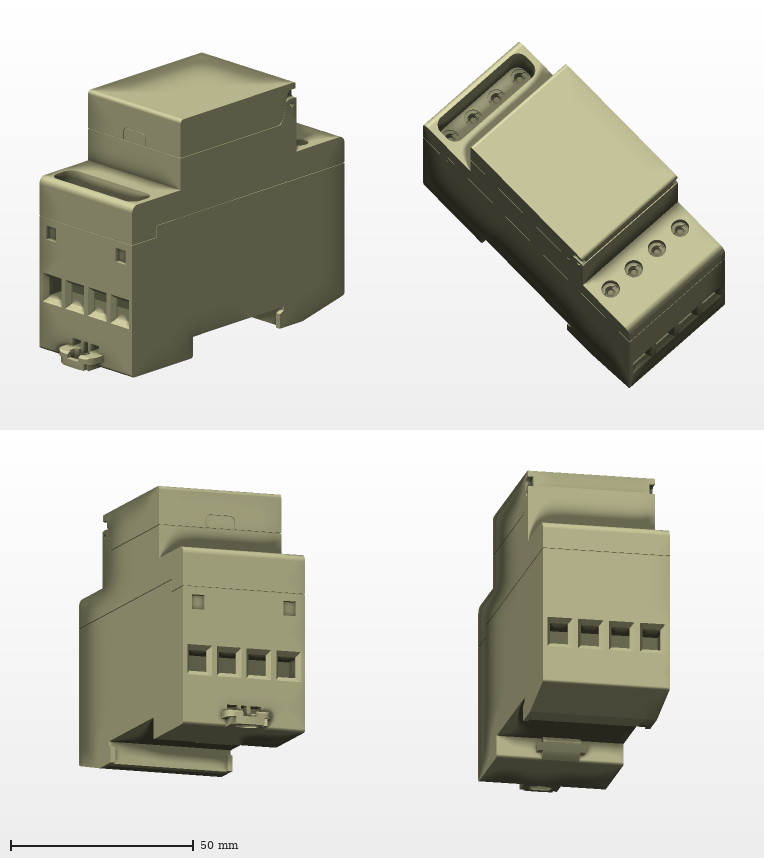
import cadquery as cq


width = 35.6
body_depth = 83.1
shelf_z = 49.9
top_z = 70.2
tower_front_y = 19.0
tower_rear_y = 64.3
shelf_round = 2.0
tower_round = 1.1
foot_round = 0.8

rail_z = 6.1
front_foot_rear_y = 23.8
rear_foot_front_y = 57.8
hook_back_y = 59.3
hook_lip_z = 4.2
hook_back_z = 4.95
hook_rib = 1.4
slope_start_y = 66.65
slope_end_z = 3.7

seam_width = 0.3
seam_depth = 0.3
cover_seam_z = 42.0
cover_step_y = 9.55
cover_step_z = 38.5
lid_seam_z = 59.3

lid_slope_foot_y = 58.7
lid_slope_head_y = 61.1
lid_end_z = 68.3
lid_end_round = 1.3
lid_foot_round = 1.8
ear_top_z = 65.8
ear_thickness = 1.6
ear_round = 1.95
ear_joint_y = 59.85
ear_chamfer = 0.7
lid_setback = 0.3
hinge_y = 62.4
hinge_z = 63.9
hinge_sink_d = 1.6
hinge_sink_depth = 0.3
hinge_bore_d = 0.9

tab_width = 8.1
tab_height = 3.45
tab_round = 1.3

terminal_count = 4
terminal_pitch = 8.7
entry_z = 18.1
entry_outer = (7.2, 8.4)
entry_inner = (5.0, 5.8)
entry_taper = 1.4
chamber_wall = 0.35
chamber_depth = 7.1
chamber_width = 32.7

window_x = 13.35
window_z = 34.3
window_width = 3.7
window_height = 4.1
window_depth = 1.4

pocket_width = 32.0
pocket_front_y = 2.0
pocket_rear_y = 10.6
pocket_round = 3.0
pocket_floor_z = 39.8
pocket_side_draft = 0.4
pocket_front_draft = 0.3
pocket_rear_draft = 0.9

screw_d = 4.6
screw_hole_d = 5.0
screw_height = 2.65
front_screw_y = 5.7
rear_screw_y = 70.3
front_screw_sink = 0.4
rear_screw_sink = 2.1
slot_width = 1.15
slot_depth = 0.5
recess_top_d = 3.2
recess_floor_d = 1.6
recess_depth = 1.1

core_width = 10.4
wing_width = 13.4
wing_bottom_z = 2.0
clip_top_z = 3.9
clip_front_y = -5.3
core_shoulder_y = -5.0
tongue_width = 8.1
horn_tip_y = -4.4
horn_root_y = -3.9
wing_front_y = -5.0
wing_round = 2.65
bevel_run = 0.7
bevel_drop = 0.5
hook_top_z = 5.9
hook_top_y = 25.8
hook_neck_z = 5.2
hook_ledge_y = 26.8
hook_tip_y = 27.7
hook_tip_z = 4.2
hook_belly = (26.1, 1.95)
hook_foot_y = 24.05
eye_width = 6.2
eye_front_y = -3.8
eye_front_corner = 0.8
eye_side_y = -1.2
eye_rear_width = 1.4
eye_rear_y = -0.2
rim_notch_width = 4.2
rim_notch_z = 2.2
guide_width = 3.7
guide_z = 2.6

clip_window_x = 3.45
clip_window_width = 3.2
clip_window_depth = 3.5
clip_slot_width = 1.8
clip_window_top_z = 6.2


def block(x_size, y_range, z_range, x_center=0.0):
    """Box centred on x_center, between the given Y and Z limits."""
    y0, y1 = y_range
    z0, z1 = z_range
    return cq.Workplane("XY").box(x_size, y1 - y0, z1 - z0).translate((x_center, (y0 + y1) / 2, (z0 + z1) / 2))


def across(points, x_size=width):
    """Extrude a closed (Y, Z) outline symmetrically along X."""
    return cq.Workplane("YZ").polyline(points).close().extrude(x_size / 2, both=True)


def terminal_xs():
    """X position of each terminal."""
    return [(i - (terminal_count - 1) / 2) * terminal_pitch for i in range(terminal_count)]


def housing_blank():
    """Stepped side outline with rounded edges and the rail recess below."""
    outline = [
        (0, 0),
        (front_foot_rear_y, 0),
        (front_foot_rear_y, rail_z),
        (hook_back_y, rail_z),
        (hook_back_y, hook_back_z),
        (rear_foot_front_y, hook_lip_z),
        (rear_foot_front_y, 0),
        (slope_start_y, 0),
        (body_depth, slope_end_z),
        (body_depth, shelf_z),
        (tower_rear_y, shelf_z),
        (tower_rear_y, top_z),
        (tower_front_y, top_z),
        (tower_front_y, shelf_z),
        (0, shelf_z),
    ]
    rounds = [
        (0, shelf_z, shelf_round),
        (body_depth, shelf_z, shelf_round),
        (tower_front_y, top_z, tower_round),
        (tower_rear_y, top_z, tower_round),
        (0, 0, foot_round),
        (front_foot_rear_y, 0, foot_round),
        (body_depth, slope_end_z, foot_round),
    ]
    blank = across(outline)
    for y, z, radius in rounds:
        blank = blank.edges(cq.selectors.NearestToPointSelector((0, y, z))).fillet(radius)
    between_ribs = block(width - 2 * hook_rib, (rear_foot_front_y, hook_back_y), (0, rail_z))
    return blank.cut(between_ribs)


def seam_core():
    """Inside of the housing that the shallow joint grooves do not reach."""
    inner_width = width - 2 * seam_depth
    main = block(inner_width, (seam_depth, body_depth - seam_depth), (0, shelf_z))
    tower = block(inner_width, (tower_front_y + seam_depth, tower_rear_y - seam_depth), (0, top_z))
    return main.union(tower)


def cover_seam():
    """Stepped joint line around the housing below the shelves."""
    half = seam_width / 2
    rear_run = block(width, (cover_step_y, body_depth), (cover_seam_z - half, cover_seam_z + half))
    step = block(width, (cover_step_y - half, cover_step_y + half), (cover_step_z - half, cover_seam_z + half))
    front_run = block(width, (0, cover_step_y), (cover_step_z - half, cover_step_z + half))
    return rear_run.union(step).union(front_run)


def lid_envelope():
    """Region above the lid joint: flat underside, steep rear slope and raised rear end."""
    outline = [
        (0, lid_seam_z),
        (lid_slope_foot_y, lid_seam_z),
        (lid_slope_head_y, lid_end_z),
        (body_depth, lid_end_z),
        (body_depth, 2 * top_z),
        (0, 2 * top_z),
    ]
    envelope = across(outline)
    foot = cq.selectors.NearestToPointSelector((0, lid_slope_foot_y, lid_seam_z))
    head = cq.selectors.NearestToPointSelector((0, lid_slope_head_y, lid_end_z))
    return envelope.edges(foot).fillet(lid_foot_round).edges(head).fillet(lid_end_round)


def lid_seam():
    """Joint line under the lid, up to the top of the hinge ears."""
    band = lid_envelope().translate((0, 0, -seam_width)).cut(lid_envelope())
    return band.intersect(block(width, (0, body_depth), (0, ear_top_z)))


def lid_end_notches():
    """Openings between the hinge ears and the lid, with the slight setback of the lid's rear face."""
    above_ears = block(width, (ear_joint_y, tower_rear_y), (ear_top_z - ear_round, lid_end_z))
    ears = block(width, (ear_joint_y, tower_rear_y), (0, ear_top_z))
    ears = ears.edges("|X and >Z and <Y").fillet(ear_round)
    ears = ears.edges("|X and >Z and >Y").chamfer(ear_chamfer, lid_setback)
    inside = block(width - 2 * ear_thickness, (0, body_depth), (0, top_z))
    notches = above_ears.cut(lid_envelope()).cut(ears).cut(inside)
    setback = block(width, (tower_rear_y - lid_setback, tower_rear_y), (ear_top_z, top_z))
    return notches.union(setback)


def hinge_holes():
    """Counterbored hinge hole through the ear on both sides."""
    axis = cq.Workplane("YZ").center(hinge_y, hinge_z)
    bores = axis.circle(hinge_bore_d / 2).extrude(width / 2, both=True)
    sinks = axis.circle(hinge_sink_d / 2).extrude(width / 2, both=True)
    ears_inside = block(width - 2 * ear_thickness, (0, body_depth), (0, top_z))
    sinks_inside = block(width - 2 * hinge_sink_depth, (0, body_depth), (0, top_z))
    return bores.cut(ears_inside).union(sinks.cut(sinks_inside))


def tab_region(grow):
    """Thumb tab outline, enlarged by grow, cut to the groove depth behind the tower front."""
    top = lid_seam_z + tab_height + grow
    region = block(tab_width + 2 * grow, (tower_front_y, tower_front_y + seam_depth), (lid_seam_z, top))
    return region.edges("|Y and >Z").fillet(tab_round + grow)


def wire_entries():
    """Tapered wire windows opening into one wide chamber behind the front wall."""
    chamber_y = entry_taper + chamber_wall
    z_range = (entry_z - entry_inner[1] / 2, entry_z + entry_inner[1] / 2)
    entries = block(chamber_width, (chamber_y, chamber_y + chamber_depth), z_range)
    for x in terminal_xs():
        funnel = (
            cq.Workplane("XZ", origin=(x, 0, entry_z))
            .rect(*entry_outer)
            .workplane(offset=-entry_taper)
            .rect(*entry_inner)
            .loft()
        )
        throat = block(entry_inner[0], (entry_taper, chamber_y), z_range, x)
        entries = entries.union(funnel).union(throat)
    return entries


def latch_windows():
    """Two shallow windows in the front face."""
    z_range = (window_z - window_height / 2, window_z + window_height / 2)
    windows = [block(window_width, (0, window_depth), z_range, side * window_x) for side in (-1, 1)]
    return windows[0].union(windows[1])


def pocket_outline(x_size, front_y, rear_y, z):
    """Rounded rectangle at height z."""
    outline = cq.Sketch().rect(x_size, rear_y - front_y).vertices().fillet(pocket_round)
    return outline.moved(cq.Location(cq.Vector(0, (front_y + rear_y) / 2, z)))


def screw_pocket():
    """Long rounded pocket in the front shelf, with drafted walls."""
    mouth = pocket_outline(pocket_width, pocket_front_y, pocket_rear_y, shelf_z)
    floor = pocket_outline(
        pocket_width - 2 * pocket_side_draft,
        pocket_front_y + pocket_front_draft,
        pocket_rear_y - pocket_rear_draft,
        pocket_floor_z,
    )
    return cq.Workplane("XY").placeSketch(mouth, floor).loft()


def screw_places():
    """Centre of each screw's top face and its depth below the surrounding surface."""
    front = [(x, front_screw_y, pocket_floor_z - front_screw_sink, front_screw_sink) for x in terminal_xs()]
    rear = [(x, rear_screw_y, shelf_z - rear_screw_sink, rear_screw_sink) for x in terminal_xs()]
    return front + rear


def screw_hole(place):
    """Seat that fits the screw, below a slightly wider access hole."""
    x, y, top, sink = place
    seat = cq.Workplane("XY", origin=(x, y, top)).circle(screw_d / 2).extrude(-screw_height)
    access = cq.Workplane("XY", origin=(x, y, top)).circle(screw_hole_d / 2).extrude(sink)
    return seat.union(access)


def make_screw(place):
    """Screw head with a conical driver recess and a straight slot."""
    x, y, top, _ = place
    head = cq.Workplane("XY", origin=(x, y, top)).circle(screw_d / 2).extrude(-screw_height)
    recess = (
        cq.Workplane("XY", origin=(x, y, top))
        .circle(recess_top_d / 2)
        .workplane(offset=-recess_depth)
        .circle(recess_floor_d / 2)
        .loft()
    )
    slot = block(screw_d, (y - slot_width / 2, y + slot_width / 2), (top - slot_depth, top), x)
    return head.cut(recess).cut(slot)


def clip_profile(x_size):
    """Side outline of the clip: flat bar with a hooked nose at the rear."""
    return (
        cq.Workplane("YZ")
        .moveTo(clip_front_y, 0)
        .lineTo(clip_front_y, clip_top_z)
        .lineTo(front_foot_rear_y, clip_top_z)
        .lineTo(front_foot_rear_y, hook_top_z)
        .lineTo(hook_top_y, hook_top_z)
        .lineTo(hook_top_y, hook_neck_z)
        .lineTo(hook_ledge_y, hook_tip_z)
        .lineTo(hook_tip_y, hook_tip_z)
        .threePointArc(hook_belly, (hook_foot_y, 0))
        .close()
        .extrude(x_size / 2, both=True)
    )


def clip_core():
    """Middle of the clip: a bowed tongue at the front between two small horns."""
    half = core_width / 2
    tongue_half = tongue_width / 2
    plan = (
        cq.Workplane("XY")
        .moveTo(-half, hook_tip_y)
        .lineTo(-half, horn_tip_y)
        .lineTo(-tongue_half, horn_root_y)
        .lineTo(-tongue_half, core_shoulder_y)
        .threePointArc((0, clip_front_y), (tongue_half, core_shoulder_y))
        .lineTo(tongue_half, horn_root_y)
        .lineTo(half, horn_tip_y)
        .lineTo(half, hook_tip_y)
        .close()
        .extrude(hook_top_z)
    )
    return clip_profile(core_width).intersect(plan)


def clip_wings():
    """Side flanges of the clip, rounded at the front corners."""
    plan = block(wing_width, (wing_front_y, hook_tip_y), (wing_bottom_z, clip_top_z))
    plan = plan.edges("|Z and <Y").fillet(wing_round)
    return clip_profile(wing_width).intersect(plan)


def clip_eye():
    """Six-sided screwdriver opening with a lowered front rim."""
    half = eye_width / 2
    right = [
        (eye_rear_width / 2, eye_rear_y),
        (half, eye_side_y),
        (half, eye_front_y + eye_front_corner),
        (half - eye_front_corner, eye_front_y),
    ]
    left = [(-x, y) for x, y in reversed(right)]
    eye = cq.Workplane("XY").polyline(right + left).close().extrude(clip_top_z)
    rim = block(rim_notch_width, (clip_front_y, eye_front_y), (rim_notch_z, clip_top_z))
    return eye.union(rim)


def clip_bevel():
    """Sloped top edge along the front of the clip."""
    slope = [
        (wing_front_y + bevel_run, clip_top_z),
        (wing_front_y, clip_top_z - bevel_drop),
        (clip_front_y, clip_top_z - bevel_drop),
        (clip_front_y, clip_top_z),
    ]
    return across(slope, wing_width)


def make_clip():
    """Sliding rail clip."""
    guide_groove = block(guide_width, (eye_side_y, clip_window_depth), (guide_z, clip_top_z))
    return clip_core().union(clip_wings()).cut(clip_eye()).cut(clip_bevel()).cut(guide_groove)


def clip_channel():
    """Channel for the clip through the front foot, with a slotted guide rib and two windows above."""
    core = block(core_width, (0, front_foot_rear_y), (0, clip_top_z))
    wings = block(wing_width, (0, front_foot_rear_y), (wing_bottom_z, clip_top_z))
    channel = core.union(wings)
    depth = (0, clip_window_depth)
    height = (clip_top_z, clip_window_top_z)
    guide = block(guide_width, depth, (guide_z, clip_top_z))
    slot = block(clip_slot_width, depth, (guide_z, clip_window_top_z))
    channel = channel.cut(guide).union(slot)
    for side in (-1, 1):
        channel = channel.union(block(clip_window_width, depth, height, side * clip_window_x))
    return channel


def make_housing():
    """Housing with all its grooves, openings and seats."""
    seams = cover_seam().union(lid_seam()).cut(seam_core())
    entries = wire_entries()
    rear_entries = entries.mirror("XZ").translate((0, body_depth, 0))
    cuts = [
        seams,
        lid_end_notches(),
        hinge_holes(),
        tab_region(seam_width).cut(tab_region(0)),
        entries,
        rear_entries,
        latch_windows(),
        screw_pocket(),
        clip_channel(),
    ]
    cuts += [screw_hole(place) for place in screw_places()]
    housing = housing_blank()
    for cut in cuts:
        housing = housing.cut(cut)
    return housing


housing = make_housing()
clip = make_clip()
screws = [make_screw(place) for place in screw_places()]

result = cq.Compound.makeCompound([housing.val(), clip.val(), *[screw.val() for screw in screws]])